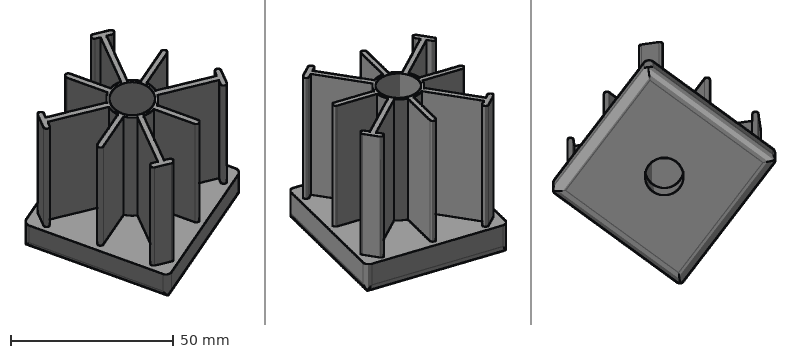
import cadquery as cq

cap_side = 50.0
cap_height = 11.0
cap_corner_radius = 2.0
cap_bottom_radius = 3.3
total_height = 54.99
stem_height = total_height - cap_height

hub_diameter = 16.0
bore_diameter = 14.0
hole_diameter = 11.84
bore_floor = cap_height
cone_height = (bore_diameter - hole_diameter) / 2

rib_thickness = 2.0
straight_rib_reach = 23.0
flange_length = 7.5
flange_outer_distance = 29.75
rib_count = 4
rib_step_angle = 360.0 / rib_count
diagonal_angle = rib_step_angle / 2


def make_cap():
    """Square cap whose rounded bottom edges meet in mitres, trimmed by rounded vertical corners."""
    blank = cq.Workplane("XY").box(cap_side, cap_side, cap_height, centered=(True, True, False))
    rounded_bottom = blank.faces("<Z").edges().fillet(cap_bottom_radius)
    corner_prism = blank.edges("|Z").fillet(cap_corner_radius)
    return rounded_bottom.intersect(corner_prism)


def stem_plane():
    """Workplane on the top face of the cap."""
    return cq.Workplane("XY").workplane(offset=cap_height)


def make_hub():
    """Solid cylinder standing on the cap."""
    return stem_plane().circle(hub_diameter / 2).extrude(stem_height)


def make_web(length):
    """Flat rib running along +X from the axis."""
    return stem_plane().center(length / 2, 0).rect(length, rib_thickness).extrude(stem_height)


def make_straight_rib():
    """Rib along +X with a full-round outer end."""
    web_length = straight_rib_reach - rib_thickness / 2
    rounded_end = stem_plane().center(web_length, 0).circle(rib_thickness / 2).extrude(stem_height)
    return make_web(web_length).union(rounded_end)


def make_flanged_rib():
    """T-shaped rib along +X whose cross flange has full-round ends."""
    web_length = flange_outer_distance - rib_thickness / 2
    flange_outline = stem_plane().center(web_length, 0).slot2D(flange_length, rib_thickness, 90)
    return make_web(web_length).union(flange_outline.extrude(stem_height))


def make_bore():
    """Wide bore down the hub, a cone below it, and the smaller hole through the cap."""
    hole = cq.Workplane("XY").circle(hole_diameter / 2).extrude(total_height)
    bore = cq.Workplane("XY").workplane(offset=bore_floor).circle(bore_diameter / 2)
    cone = (
        cq.Workplane("XY")
        .workplane(offset=bore_floor - cone_height)
        .circle(hole_diameter / 2)
        .workplane(offset=cone_height)
        .circle(bore_diameter / 2)
        .loft(ruled=True)
    )
    return hole.union(cone).union(bore.extrude(total_height - bore_floor))


def rotated(body, angle):
    """Copy of a body turned about the Z axis."""
    return body.rotate((0, 0, 0), (0, 0, 1), angle)


straight_rib = make_straight_rib()
flanged_rib = make_flanged_rib()

result = make_cap().union(make_hub())
for index in range(rib_count):
    rib_angle = index * rib_step_angle
    result = result.union(rotated(straight_rib, rib_angle))
    result = result.union(rotated(flanged_rib, rib_angle + diagonal_angle))
result = result.cut(make_bore())